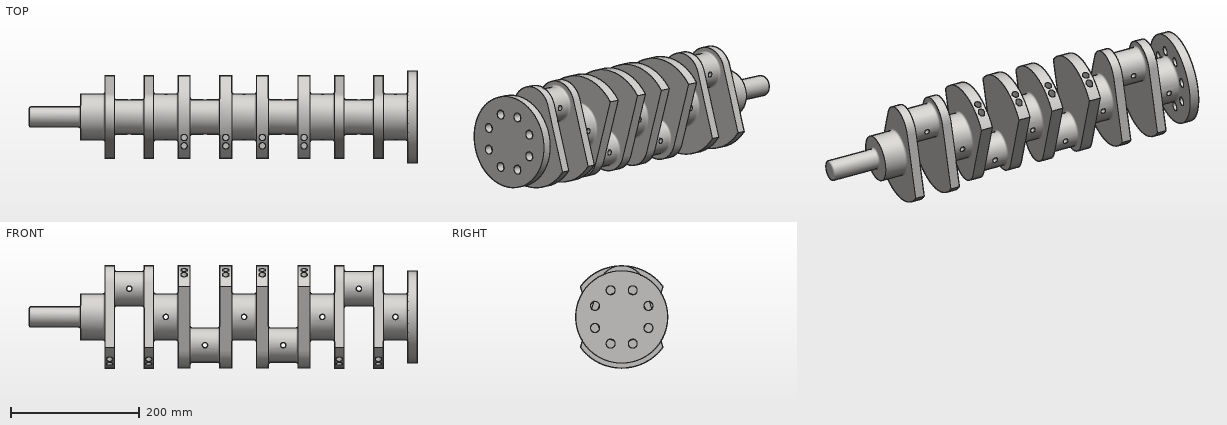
import cadquery as cq
import math

NOSE_LENGTH = 80
MAIN_LENGTH = 38
PIN_LENGTH = 46
THIN_WEB = 15
THICK_WEB = 19
FLANGE_THICKNESS = 15

NOSE_RADIUS = 16
MAIN_RADIUS = 36
PIN_RADIUS = 27
FLANGE_RADIUS = 72
FILLET = 3
NOSE_EDGE = 3

THROW = 44
THROWS = [(THIN_WEB, 1), (THICK_WEB, -1), (THICK_WEB, -1), (THIN_WEB, 1)]

COUNTERWEIGHT_RADIUS = 80
PIN_END_RADIUS = COUNTERWEIGHT_RADIUS - THROW
WEB_HALF_WIDTH = 64.5

OIL_HOLE_DIAMETER = 8
BALANCE_HOLE_DIAMETER = 10
BALANCE_HOLE_DEPTH = 20
BALANCE_HOLE_OFFSETS = [-32, -45]
BOLT_COUNT = 8
BOLT_CIRCLE_RADIUS = 45
BOLT_HOLE_DIAMETER = 14


def flared_cylinder(start, length, radius, height=0, flare_start=True, flare_end=True):
    """Round bar along X that widens through a concave fillet where it meets a wall."""
    end = start + length
    flared = radius + FILLET
    mid = FILLET * (1 - math.sqrt(0.5))
    profile = cq.Workplane("XY", origin=(0, 0, height)).moveTo(start, 0)
    if flare_start:
        profile = profile.lineTo(start, flared)
        profile = profile.threePointArc((start + mid, radius + mid), (start + FILLET, radius))
    else:
        profile = profile.lineTo(start, radius)
    if flare_end:
        profile = profile.lineTo(end - FILLET, radius)
        profile = profile.threePointArc((end - mid, radius + mid), (end, flared))
    else:
        profile = profile.lineTo(end, radius)
    profile = profile.lineTo(end, 0).close()
    return profile.revolve(360, (start, 0, 0), (end, 0, 0))


def web(start, thickness, side):
    """Crank web whose flanks run tangent from the pin-end arc to the counterweight corners."""
    corner_y = WEB_HALF_WIDTH
    corner_z = -math.sqrt(COUNTERWEIGHT_RADIUS**2 - corner_y**2)
    corner_distance = math.hypot(corner_y, THROW - corner_z)
    corner_angle = math.atan2(corner_z - THROW, corner_y)
    tangent_angle = corner_angle + math.acos(PIN_END_RADIUS / corner_distance)
    tangent_y = PIN_END_RADIUS * math.cos(tangent_angle)
    tangent_z = THROW + PIN_END_RADIUS * math.sin(tangent_angle)
    body = (
        cq.Workplane("YZ", origin=(start, 0, 0))
        .moveTo(corner_y, side * corner_z)
        .lineTo(tangent_y, side * tangent_z)
        .threePointArc((0, side * COUNTERWEIGHT_RADIUS), (-tangent_y, side * tangent_z))
        .lineTo(-corner_y, side * corner_z)
        .threePointArc((0, -side * COUNTERWEIGHT_RADIUS), (corner_y, side * corner_z))
        .close()
        .extrude(thickness)
    )
    return body.cut(balance_holes(start + thickness / 2, side))


def balance_holes(center, side):
    """Pair of blind vertical holes in the counterweight rim, on the -Y half."""
    holes = cq.Workplane("XY")
    for offset in BALANCE_HOLE_OFFSETS:
        rim = math.sqrt(COUNTERWEIGHT_RADIUS**2 - offset**2)
        floor = rim - BALANCE_HOLE_DEPTH
        hole = (
            cq.Workplane("XY", origin=(center, offset, -side * floor))
            .circle(BALANCE_HOLE_DIAMETER / 2)
            .extrude(-side * (COUNTERWEIGHT_RADIUS - floor))
        )
        holes = holes.add(hole)
    return holes.combine()


def oil_hole(center, height=0):
    """Hole along Y right through a journal."""
    return (
        cq.Workplane("XZ", origin=(center, 0, height))
        .circle(OIL_HOLE_DIAMETER / 2)
        .extrude(MAIN_RADIUS + FILLET, both=True)
    )


def nose():
    """Front stub with a rounded tip, flared into the first main journal."""
    stub = flared_cylinder(0, NOSE_LENGTH, NOSE_RADIUS, flare_start=False)
    return stub.faces("<X").edges().fillet(NOSE_EDGE)


def flange(start):
    """Rear flange with its ring of bolt holes, none of them on the Y or Z axis."""
    half_step = 180 / BOLT_COUNT
    bolts = (
        cq.Workplane("YZ", origin=(start, 0, 0))
        .polarArray(BOLT_CIRCLE_RADIUS, half_step, 360, BOLT_COUNT)
        .circle(BOLT_HOLE_DIAMETER / 2)
        .extrude(FLANGE_THICKNESS)
    )
    disc = cq.Workplane("YZ", origin=(start, 0, 0)).circle(FLANGE_RADIUS).extrude(FLANGE_THICKNESS)
    return disc.cut(bolts)


def crankshaft():
    """Nose, first main journal, then web, pin, web and main journal for every throw."""
    shaft = nose()
    shaft = shaft.union(flared_cylinder(NOSE_LENGTH, MAIN_LENGTH, MAIN_RADIUS, flare_start=False))
    x = NOSE_LENGTH + MAIN_LENGTH
    for thickness, side in THROWS:
        height = side * THROW
        pin_start = x + thickness
        rear_web_start = pin_start + PIN_LENGTH
        main_start = rear_web_start + thickness
        shaft = shaft.union(web(x, thickness, side))
        shaft = shaft.union(flared_cylinder(pin_start, PIN_LENGTH, PIN_RADIUS, height))
        shaft = shaft.union(web(rear_web_start, thickness, side))
        shaft = shaft.union(flared_cylinder(main_start, MAIN_LENGTH, MAIN_RADIUS))
        shaft = shaft.cut(oil_hole(pin_start + PIN_LENGTH / 2, height))
        shaft = shaft.cut(oil_hole(main_start + MAIN_LENGTH / 2))
        x = main_start + MAIN_LENGTH
    return shaft.union(flange(x))


result = crankshaft()